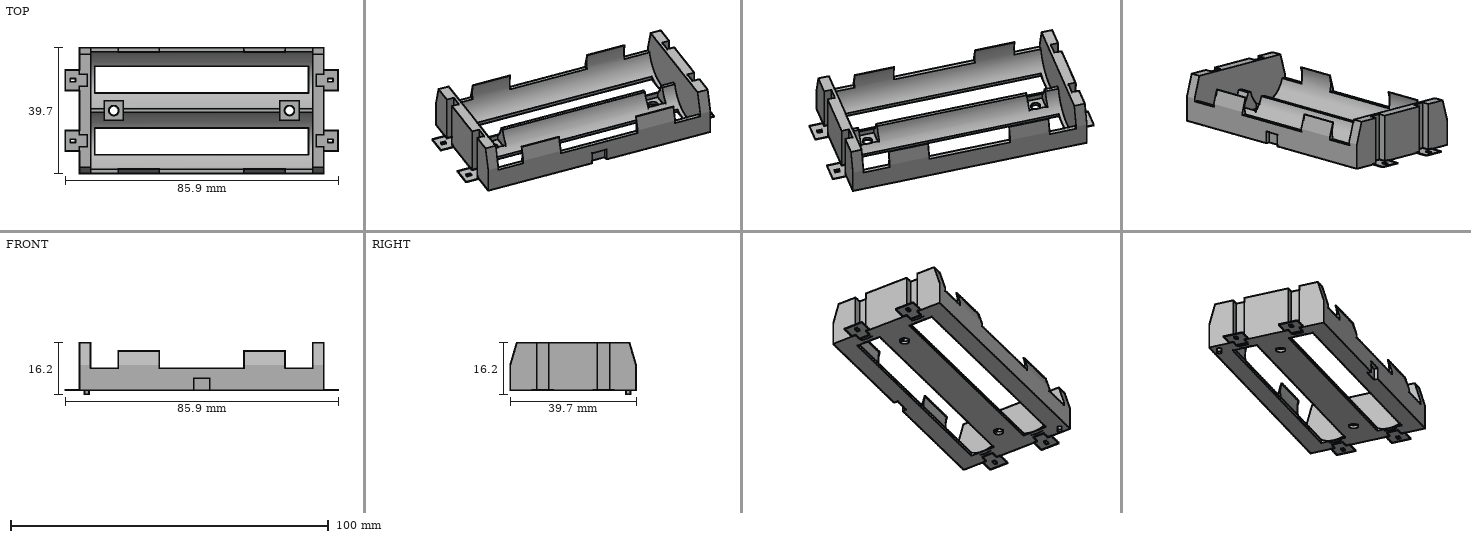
import cadquery as cq


HOLDER_LENGTH = 77.0
HOLDER_WIDTH = 39.7
WALL_HEIGHT = 15.0
WALL_THICKNESS = 3.5
RIM_HEIGHT = 7.05
SLOPE_START_HEIGHT = 8.0
SLOPE_INSET = 2.1

CLIP_HEIGHT = 12.45
CLIP_INNER_X = 13.3
CLIP_LENGTH = 13.0

CELL_OFFSET_Y = 9.5
TROUGH_RADIUS = 9.3
TROUGH_AXIS_HEIGHT = 9.4
WINDOW_OFFSET_Y = 9.7
WINDOW_WIDTH = 8.3
WINDOW_END_GAP = 1.4

MOUNT_OFFSET_X = 27.7
MOUNT_HOLE_DIAMETER = 3.0
RECESS_SIZE = 6.0
RECESS_FLOOR_HEIGHT = 1.0

NOTCH_LENGTH = 5.0
NOTCH_HEIGHT = 3.9
NOTCH_DEPTH = 1.3

PIN_DIAMETER = 1.5
PIN_LENGTH = 1.2
PIN_END_INSET = 2.3
PIN_SIDE_INSET = 2.5

GROOVE_WIDTH = 3.9
GROOVE_DEPTH = 2.4
OVERALL_LENGTH = 85.9
TAB_WIDTH = 6.5
TAB_THICKNESS = 0.3
TAB_SLOT_LENGTH = 1.55
TAB_SLOT_WIDTH = 0.95
TAB_SLOT_INSET = 2.4

HALF_LENGTH = HOLDER_LENGTH / 2
HALF_WIDTH = HOLDER_WIDTH / 2
INNER_LENGTH = HOLDER_LENGTH - 2 * WALL_THICKNESS
TAB_REACH = (OVERALL_LENGTH - HOLDER_LENGTH) / 2
SIDES = (-1, 1)


def box(length, width, height, x, y, z):
    """Box centred on (x, y) with its bottom at z."""
    return cq.Workplane("XY").box(length, width, height, centered=(True, True, False)).translate((x, y, z))


def make_block():
    """Solid block with inward-leaning upper sides, extruded along X."""
    half_top = HALF_WIDTH - SLOPE_INSET
    return (
        cq.Workplane("YZ")
        .polyline([
            (-HALF_WIDTH, 0),
            (HALF_WIDTH, 0),
            (HALF_WIDTH, SLOPE_START_HEIGHT),
            (half_top, WALL_HEIGHT),
            (-half_top, WALL_HEIGHT),
            (-HALF_WIDTH, SLOPE_START_HEIGHT),
        ])
        .close()
        .extrude(HALF_LENGTH, both=True)
    )


def make_upper_clearance():
    """Space above the rim between the end walls, less the four side clips."""
    clearance = box(INNER_LENGTH, HOLDER_WIDTH, WALL_HEIGHT - RIM_HEIGHT, 0, 0, RIM_HEIGHT)
    clip_x = CLIP_INNER_X + CLIP_LENGTH / 2
    clip_width = HALF_WIDTH - CELL_OFFSET_Y
    clip_y = HALF_WIDTH - clip_width / 2
    for x_side in SIDES:
        for y_side in SIDES:
            clip = box(
                CLIP_LENGTH, clip_width, CLIP_HEIGHT - RIM_HEIGHT,
                x_side * clip_x, y_side * clip_y, RIM_HEIGHT,
            )
            clearance = clearance.cut(clip)
    return clearance


def make_trough(y):
    """Cylindrical cell space between the end walls."""
    return (
        cq.Workplane("YZ")
        .center(y, TROUGH_AXIS_HEIGHT)
        .circle(TROUGH_RADIUS)
        .extrude(INNER_LENGTH / 2, both=True)
    )


def make_window(y):
    """Rectangular opening through the trough floor."""
    return box(INNER_LENGTH - 2 * WINDOW_END_GAP, WINDOW_WIDTH, RIM_HEIGHT, 0, y, 0)


def make_mount_cut(x):
    """Square recess in the middle rib, with a screw hole through its floor."""
    recess = box(RECESS_SIZE, RECESS_SIZE, RIM_HEIGHT, x, 0, RECESS_FLOOR_HEIGHT)
    hole = cq.Workplane("XY").center(x, 0).circle(MOUNT_HOLE_DIAMETER / 2).extrude(RIM_HEIGHT)
    return recess.union(hole)


def make_groove(x_side, y):
    """Full-height groove in the outer face of an end wall."""
    x = x_side * (HALF_LENGTH - GROOVE_DEPTH / 2)
    return box(GROOVE_DEPTH, GROOVE_WIDTH, WALL_HEIGHT, x, y, 0)


def make_pin():
    """Locating pin below the holder."""
    return (
        cq.Workplane("XY")
        .center(-HALF_LENGTH + PIN_END_INSET, HALF_WIDTH - PIN_SIDE_INSET)
        .circle(PIN_DIAMETER / 2)
        .extrude(-PIN_LENGTH)
    )


def make_holder():
    """Moulded holder, in one piece with its locating pin."""
    holder = make_block().cut(make_upper_clearance())
    for y_side in SIDES:
        y = y_side * CELL_OFFSET_Y
        holder = holder.cut(make_trough(y))
        holder = holder.cut(make_window(y_side * WINDOW_OFFSET_Y))
        for x_side in SIDES:
            holder = holder.cut(make_groove(x_side, y))
    for x_side in SIDES:
        holder = holder.cut(make_mount_cut(x_side * MOUNT_OFFSET_X))
    notch_y = -HALF_WIDTH + NOTCH_DEPTH / 2
    holder = holder.cut(box(NOTCH_LENGTH, NOTCH_DEPTH, NOTCH_HEIGHT, 0, notch_y, 0))
    return holder.union(make_pin())


def make_tab(x_side, y):
    """Solder tab: a slotted plate outside the wall and a tongue that fills the groove."""
    plate = box(TAB_REACH, TAB_WIDTH, TAB_THICKNESS, x_side * (HALF_LENGTH + TAB_REACH / 2), y, 0)
    tongue = box(GROOVE_DEPTH, GROOVE_WIDTH, TAB_THICKNESS, x_side * (HALF_LENGTH - GROOVE_DEPTH / 2), y, 0)
    slot_x = x_side * (OVERALL_LENGTH / 2 - TAB_SLOT_INSET)
    slot = box(TAB_SLOT_LENGTH, TAB_SLOT_WIDTH, TAB_THICKNESS, slot_x, y, 0)
    return plate.union(tongue).cut(slot)


holder = make_holder()
tabs = [make_tab(x_side, y_side * CELL_OFFSET_Y) for x_side in SIDES for y_side in SIDES]

result = cq.Compound.makeCompound([holder.val(), *[tab.val() for tab in tabs]])